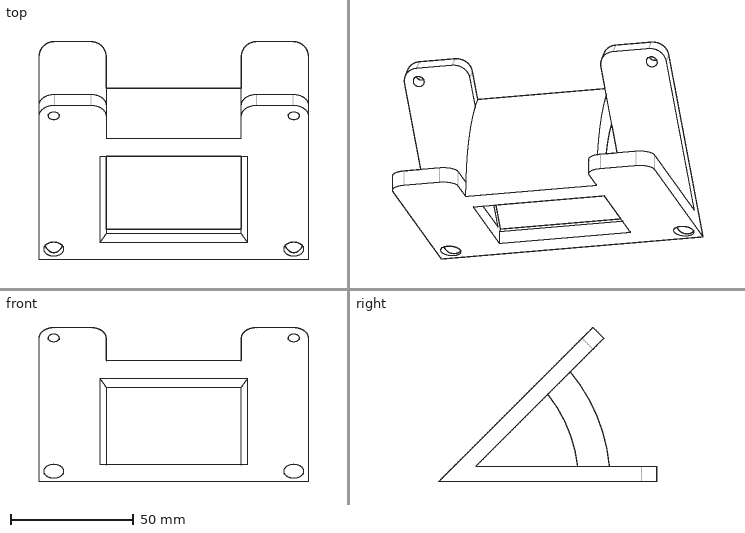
import cadquery as cq
import math

width = 110.2
length = 89.2
thickness = 6.3
opening_angle = 45.0

tab_width = 27.5
corner_radius = 6.3
bridge_width = width - 2 * tab_width

window_start = 12.5
wall_inner_radius = 57.1
wall_outer_radius = 70.1

flare = 2.6

hole_inset = 6.1
large_hole_diameter = 8.0
small_hole_diameter = 4.5


def centred_box(x_size, y_start, y_end, z_size):
    """Box standing on z = 0 and centred across the part's width."""
    box = cq.Workplane("XY").box(x_size, y_end - y_start, z_size, centered=(True, False, False))
    return box.translate((0, y_start, 0))


def opening_cutter():
    """Central opening between the tabs, through one plate."""
    return centred_box(bridge_width, window_start, length, thickness)


def forked_plate():
    """Flat plate whose central opening runs out between two rounded tabs."""
    plate = centred_box(width, 0, length, thickness)
    plate = plate.cut(opening_cutter())
    return plate.edges("|Z").edges(">Y").fillet(corner_radius)


def flare_cutter():
    """Tapered mouth of the window, widest at the lower face."""
    window_height = wall_inner_radius - window_start
    return (
        cq.Workplane("XY")
        .center(0, (window_start + wall_inner_radius) / 2)
        .rect(bridge_width + 2 * flare, window_height + 2 * flare)
        .workplane(offset=flare)
        .rect(bridge_width, window_height)
        .loft(ruled=True)
    )


def onto_slope(shape):
    """Mirror a flat shape and tilt it, so its lower face becomes the sloping outer face."""
    mirrored = shape.mirror("XY")
    return mirrored.rotate((0, 0, 0), (1, 0, 0), opening_angle)


def hole_cutters():
    """Two large holes by the shared edge and two small holes in the tabs."""
    cutters = cq.Workplane("XY")
    holes = ((hole_inset, large_hole_diameter), (length - hole_inset, small_hole_diameter))
    cutter_depth = 4 * thickness
    for y, diameter in holes:
        for x in (hole_inset - width / 2, width / 2 - hole_inset):
            cutter = cq.Workplane("XY").center(x, y).circle(diameter / 2).extrude(cutter_depth)
            cutters = cutters.add(cutter)
    return cutters.combine()


def curved_wall():
    """Arc-shaped wall about the shared edge, closing the openings and joining the plates."""

    def on_arc(radius, angle):
        turn = math.radians(angle)
        return radius * math.cos(turn), radius * math.sin(turn)

    middle = opening_angle / 2
    return (
        cq.Workplane("YZ", origin=(-bridge_width / 2, 0, 0))
        .moveTo(wall_inner_radius, 0)
        .lineTo(wall_outer_radius, 0)
        .threePointArc(on_arc(wall_outer_radius, middle), on_arc(wall_outer_radius, opening_angle))
        .lineTo(*on_arc(wall_inner_radius, opening_angle))
        .threePointArc(on_arc(wall_inner_radius, middle), (wall_inner_radius, 0))
        .close()
        .extrude(bridge_width)
    )


def wedge_space():
    """Wedge between the two outer faces, with its point on the shared edge."""
    reach = 2 * length
    tip_rise = reach * math.tan(math.radians(opening_angle))
    return (
        cq.Workplane("YZ", origin=(-width / 2, 0, 0))
        .polyline([(0, 0), (reach, 0), (reach, tip_rise)])
        .close()
        .extrude(width)
    )


plate = forked_plate()
result = plate.union(onto_slope(plate))
result = result.cut(opening_cutter()).cut(onto_slope(opening_cutter()))
result = result.union(curved_wall())
result = result.intersect(wedge_space())
result = result.cut(onto_slope(flare_cutter()))
result = result.cut(onto_slope(hole_cutters()))